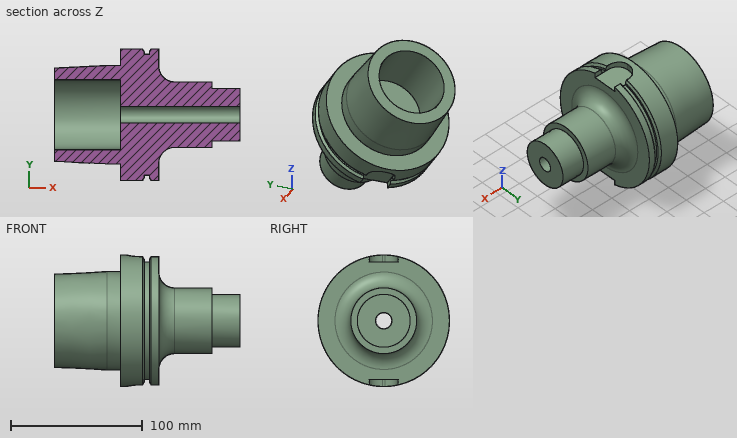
import cadquery as cq


SHANK_LENGTH = 50.0
SHANK_RADIUS = 37.5
SHANK_TIP_RADIUS = 35.5
SHANK_COLLAR_LENGTH = 10.0
SHANK_BORE_RADIUS = 26.5
SHANK_BORE_DEPTH = 50.0

FLANGE_LENGTH = 29.3
FLANGE_RADIUS = 50.0
GROOVE_START = 16.9
GROOVE_END = 23.3
GROOVE_RADIUS = 46.0
GROOVE_WALL_RUN = 1.3
GROOVE_BEVEL_HEIGHT = 2.3

NOSE_END = 90.9
NECK_RADIUS = 25.0
NECK_FILLET_RADIUS = 12.0
SPIGOT_RADIUS = 20.1
SPIGOT_LENGTH = 21.2
THROUGH_HOLE_RADIUS = 6.1

SLOT_WIDTH = 22.0
SLOT_START = 5.0
SLOT_CORNER_RADIUS = 10.0
SLOT_FLOOR_HEIGHT = 44.5


def make_body():
    """Revolve the outer profile, drawn as X against radius."""
    shoulder = NOSE_END - SPIGOT_LENGTH
    groove_bevel_radius = FLANGE_RADIUS - GROOVE_BEVEL_HEIGHT
    fillet_end = FLANGE_LENGTH + NECK_FILLET_RADIUS
    fillet_top = NECK_RADIUS + NECK_FILLET_RADIUS
    diagonal = NECK_FILLET_RADIUS * 0.5**0.5
    profile = (
        cq.Workplane("XY")
        .moveTo(-SHANK_LENGTH, 0)
        .lineTo(-SHANK_LENGTH, SHANK_TIP_RADIUS)
        .lineTo(-SHANK_COLLAR_LENGTH, SHANK_RADIUS)
        .lineTo(0, SHANK_RADIUS)
        .lineTo(0, FLANGE_RADIUS)
        .lineTo(GROOVE_START, FLANGE_RADIUS)
        .lineTo(GROOVE_START + GROOVE_WALL_RUN, groove_bevel_radius)
        .lineTo(GROOVE_START + GROOVE_WALL_RUN, GROOVE_RADIUS)
        .lineTo(GROOVE_END - GROOVE_WALL_RUN, GROOVE_RADIUS)
        .lineTo(GROOVE_END - GROOVE_WALL_RUN, groove_bevel_radius)
        .lineTo(GROOVE_END, FLANGE_RADIUS)
        .lineTo(FLANGE_LENGTH, FLANGE_RADIUS)
        .lineTo(FLANGE_LENGTH, fillet_top)
        .threePointArc((fillet_end - diagonal, fillet_top - diagonal), (fillet_end, NECK_RADIUS))
        .lineTo(shoulder, NECK_RADIUS)
        .lineTo(shoulder, SPIGOT_RADIUS)
        .lineTo(NOSE_END, SPIGOT_RADIUS)
        .lineTo(NOSE_END, 0)
        .close()
    )
    return profile.revolve(360, (0, 0, 0), (1, 0, 0))


def make_bore():
    """Wide bore in the shank, followed by a hole through to the nose."""
    from_tip = cq.Workplane("YZ", origin=(-SHANK_LENGTH, 0, 0))
    shank_bore = from_tip.circle(SHANK_BORE_RADIUS).extrude(SHANK_BORE_DEPTH)
    through_hole = from_tip.circle(THROUGH_HOLE_RADIUS).extrude(SHANK_LENGTH + NOSE_END)
    return shank_bore.union(through_hole)


def make_drive_slot():
    """Round-cornered slot cutter for the +Z side, open at the nose side of the flange."""
    slot_length = FLANGE_LENGTH - SLOT_START
    return (
        cq.Workplane("XY", origin=(SLOT_START, 0, SLOT_FLOOR_HEIGHT))
        .rect(slot_length, SLOT_WIDTH)
        .extrude(FLANGE_RADIUS - SLOT_FLOOR_HEIGHT)
        .translate((slot_length / 2, 0, 0))
        .edges("|Z and <X")
        .fillet(SLOT_CORNER_RADIUS)
    )


result = make_body().cut(make_bore())
for slot_angle in (0, 180):
    result = result.cut(make_drive_slot().rotate((0, 0, 0), (1, 0, 0), slot_angle))